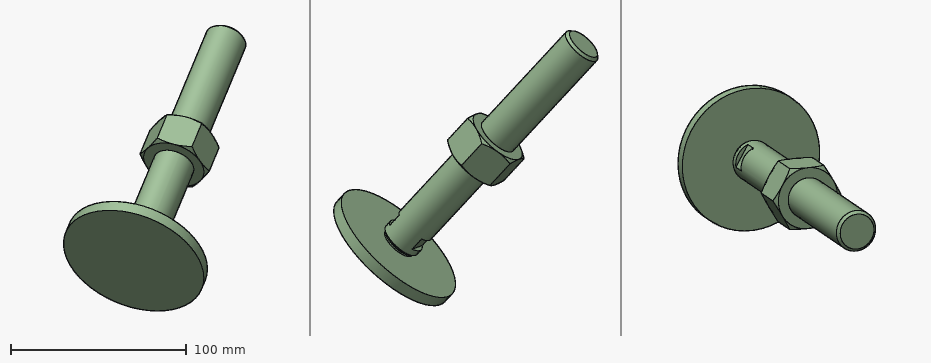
import cadquery as cq
import math


plate_diameter = 84.0
plate_thickness = 7.0

neck_base_diameter = 20.5
neck_height = 0.95
neck_taper_angle = 45.0

spindle_diameter = 24.0
overall_length = 174.0
spindle_chamfer = 1.7
spindle_start = plate_thickness + neck_height
spindle_length = overall_length - spindle_start

flats_width = 19.0
flats_length = 8.5
flats_start = 13.75
flats_angle = 30.0

nut_sides = 6
nut_across_flats = 36.0
nut_across_corners = nut_across_flats / math.cos(math.pi / nut_sides)
nut_height = 21.5
nut_start = 75.0
nut_chamfer_angle = 30.0


def at_height(y):
    """Workplane facing +Y at height y, with its local x along X and local y along -Z."""
    return cq.Workplane(cq.Plane(origin=(0, y, 0), xDir=(1, 0, 0), normal=(0, 1, 0)))


def make_plate():
    """Round plate with a low conical neck that carries the spindle."""
    disc = at_height(0).circle(plate_diameter / 2).extrude(plate_thickness)
    neck_base = at_height(plate_thickness).circle(neck_base_diameter / 2)
    neck = neck_base.extrude(neck_height, taper=neck_taper_angle)
    return disc.union(neck)


def make_spindle():
    """Rod chamfered at both ends, with two opposite wrench flats turned about its axis."""
    rod = at_height(spindle_start).circle(spindle_diameter / 2).extrude(spindle_length)
    rod = rod.faces("<Y or >Y").chamfer(spindle_chamfer)
    surround = at_height(flats_start).circle(spindle_diameter).extrude(flats_length)
    core = (
        at_height(flats_start)
        .transformed(rotate=(0, 0, -flats_angle))
        .rect(flats_width, 2 * spindle_diameter)
        .extrude(flats_length)
    )
    return rod.cut(surround.cut(core))


def make_nut():
    """Hexagon nut with flats facing +Z and -Z and conically chamfered corners at both ends."""
    corner_radius = nut_across_corners / 2
    flat_radius = nut_across_flats / 2
    chamfer_height = (corner_radius - flat_radius) * math.tan(math.radians(nut_chamfer_angle))
    hexagon = at_height(nut_start).polygon(nut_sides, nut_across_corners).extrude(nut_height)
    cone_envelope = (
        at_height(nut_start)
        .circle(corner_radius)
        .extrude(nut_height)
        .faces("<Y or >Y")
        .chamfer(chamfer_height, corner_radius - flat_radius)
    )
    bore = at_height(nut_start).circle(spindle_diameter / 2).extrude(nut_height)
    return hexagon.intersect(cone_envelope).cut(bore)


plate = make_plate()
spindle = make_spindle()
nut = make_nut()

result = cq.Compound.makeCompound([plate.val(), spindle.val(), nut.val()])